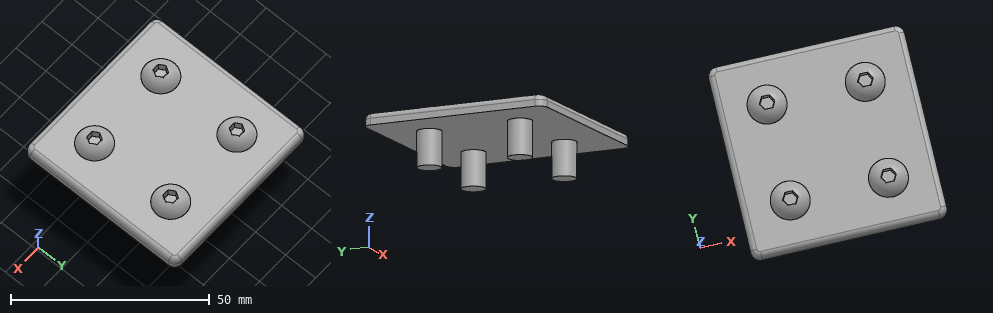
import cadquery as cq
import math

plate_side = 50.8
plate_thickness = 3.35
corner_radius = 2.4
edge_fillet = 1.65

screw_spacing = plate_side / 2
shank_diameter = 6.4
shank_projection = 9.45
head_diameter = 10.05
overall_height = 15.7
head_height = overall_height - shank_projection - plate_thickness

socket_across_flats = 3.4
socket_depth = 2.55


def make_plate():
    """Square plate with rounded corners, a rounded top edge and four screw holes."""
    return (
        cq.Workplane("XY")
        .rect(plate_side, plate_side)
        .extrude(plate_thickness)
        .edges("|Z")
        .fillet(corner_radius)
        .faces(">Z")
        .edges()
        .fillet(edge_fillet)
        .faces("<Z")
        .workplane(origin=(0, 0, 0))
        .rarray(screw_spacing, screw_spacing, 2, 2)
        .hole(shank_diameter)
    )


def make_screw(x, y):
    """Button-head screw seated on the plate, with its shank passing through."""
    head_radius = head_diameter / 2
    shank_radius = shank_diameter / 2
    socket_radius = socket_across_flats / 2
    head_top = plate_thickness + head_height

    centre_drop = (head_radius**2 - socket_radius**2 - head_height**2) / (2 * head_height)
    dome_radius = math.hypot(head_radius, centre_drop)
    dome_apex = plate_thickness - centre_drop + dome_radius
    middle_angle = math.asin(head_radius / dome_radius) / 2
    dome_middle = (
        dome_radius * math.sin(middle_angle),
        plate_thickness - centre_drop + dome_radius * math.cos(middle_angle),
    )

    body = (
        cq.Workplane("XZ")
        .moveTo(0, -shank_projection)
        .lineTo(shank_radius, -shank_projection)
        .lineTo(shank_radius, plate_thickness)
        .lineTo(head_radius, plate_thickness)
        .threePointArc(dome_middle, (0, dome_apex))
        .close()
        .revolve(360, (0, 0), (0, 1))
    )
    socket_across_corners = socket_across_flats / math.cos(math.pi / 6)
    socket = (
        cq.Workplane("XY", origin=(0, 0, head_top - socket_depth))
        .polygon(6, socket_across_corners)
        .extrude(dome_apex - head_top + socket_depth)
    )
    return body.cut(socket).translate((x, y, 0))


plate = make_plate()
half_spacing = screw_spacing / 2
screws = []
for screw_x in (-half_spacing, half_spacing):
    for screw_y in (-half_spacing, half_spacing):
        screws.append(make_screw(screw_x, screw_y))

result = cq.Compound.makeCompound([plate.val(), *[screw.val() for screw in screws]])